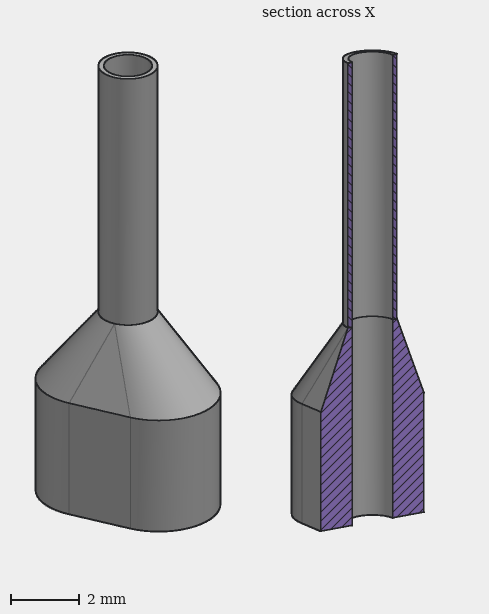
import cadquery as cq

total_height = 14.0
sleeve_length = 5.6
sleeve_width = 3.6
collar_height = 3.61
taper_height = 2.4

tube_diameter = 1.72
bore_diameter = 1.4

tube_radius = tube_diameter / 2
end_radius = sleeve_width / 2
end_offset = (sleeve_length - sleeve_width) / 2
sleeve_height = collar_height + taper_height
tube_length = total_height - sleeve_height


def make_collar():
    """Straight lower part of the sleeve with a slot-shaped outline."""
    return cq.Workplane("XY").slot2D(sleeve_length, sleeve_width).extrude(collar_height)


def make_taper_end(side):
    """Half of a slanted cone, from one round collar end up to half of the tube circle."""
    return (
        cq.Workplane("XY", origin=(0, 0, collar_height))
        .moveTo(side * end_offset, -end_radius)
        .threePointArc((side * (end_offset + end_radius), 0), (side * end_offset, end_radius))
        .close()
        .workplane(offset=taper_height)
        .moveTo(0, -tube_radius)
        .threePointArc((side * tube_radius, 0), (0, tube_radius))
        .close()
        .loft(ruled=True)
    )


def make_taper_wedge():
    """Middle of the taper, with a flat triangle on its front and its back."""
    triangle = (
        cq.Workplane("XZ")
        .polyline([(-end_offset, collar_height), (end_offset, collar_height), (0, sleeve_height)])
        .close()
        .extrude(end_radius, both=True)
    )
    trapezoid = (
        cq.Workplane("YZ")
        .polyline([
            (-end_radius, collar_height),
            (end_radius, collar_height),
            (tube_radius, sleeve_height),
            (-tube_radius, sleeve_height),
        ])
        .close()
        .extrude(end_offset, both=True)
    )
    return triangle.intersect(trapezoid)


def make_sleeve():
    """Insulating sleeve: collar and taper with the wire bore running through."""
    body = make_collar().union(make_taper_wedge())
    for side in (-1, 1):
        body = body.union(make_taper_end(side))
    bore = cq.Workplane("XY").circle(bore_diameter / 2).extrude(sleeve_height)
    return body.cut(bore).solids()


def make_tube():
    """Thin metal tube standing on the top of the sleeve."""
    return (
        cq.Workplane("XY", origin=(0, 0, sleeve_height))
        .circle(tube_radius)
        .circle(bore_diameter / 2)
        .extrude(tube_length)
    )


sleeve = make_sleeve()
tube = make_tube()

result = cq.Compound.makeCompound([sleeve.val(), tube.val()])